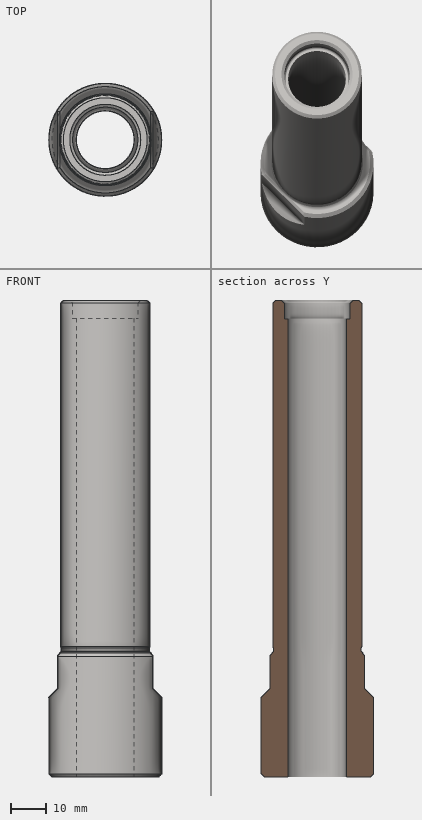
import cadquery as cq

total_height = 135.0
head_diameter = 32.0
head_height = 35.1
head_chamfer = 1.0

tube_diameter = 25.4
tube_chamfer = 0.8
groove_diameter = 25.0
groove_height = 1.5
groove_chamfer = 0.4
root_chamfer = 0.5

bore_diameter = 16.3
socket_diameter = 18.5
socket_depth = 5.1
socket_chamfer = 0.8

flat_width = 27.0
flat_bottom = 25.1
flat_chamfer = 0.7

head_radius = head_diameter / 2
tube_radius = tube_diameter / 2
groove_radius = groove_diameter / 2
bore_radius = bore_diameter / 2
socket_radius = socket_diameter / 2
groove_top = head_height + groove_height


def turned_body():
    """Revolve the half section of the head, groove, tube and stepped bore."""
    section = [
        (bore_radius, 0),
        (head_radius - head_chamfer, 0),
        (head_radius, head_chamfer),
        (head_radius, head_height - head_chamfer),
        (head_radius - head_chamfer, head_height),
        (groove_radius + root_chamfer, head_height),
        (groove_radius, head_height + root_chamfer),
        (groove_radius, groove_top),
        (tube_radius, groove_top + groove_chamfer),
        (tube_radius, total_height - tube_chamfer),
        (tube_radius - tube_chamfer, total_height),
        (socket_radius + socket_chamfer, total_height),
        (socket_radius, total_height - socket_chamfer),
        (socket_radius, total_height - socket_depth),
        (bore_radius, total_height - socket_depth),
    ]
    return cq.Workplane("XZ").polyline(section).close().revolve(360, (0, 0), (0, 1))


def flat_cutter(side):
    """Material removed for the wrench flat on the -X (-1) or +X (+1) side."""
    flat_x = flat_width / 2
    run_out = head_radius - flat_x
    outline = [
        (side * (flat_x - flat_chamfer), head_height),
        (side * flat_x, head_height - flat_chamfer),
        (side * flat_x, flat_bottom),
        (side * head_radius, flat_bottom - run_out),
        (side * head_radius, head_height),
    ]
    return cq.Workplane("XZ").polyline(outline).close().extrude(head_radius, both=True)


result = turned_body()
for side in (-1, 1):
    result = result.cut(flat_cutter(side))